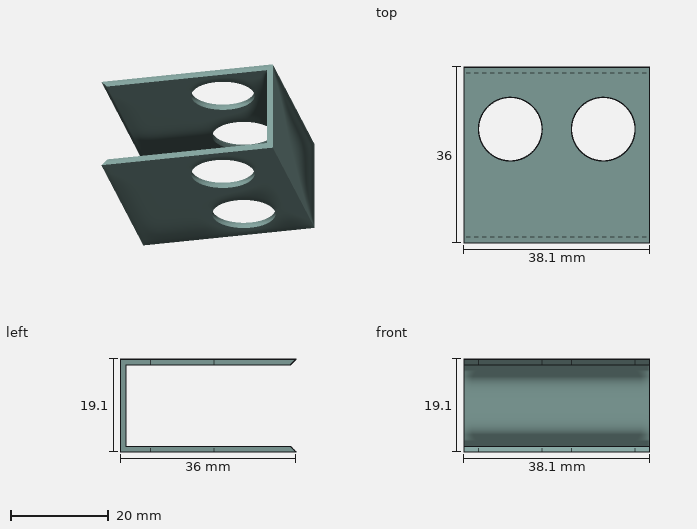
import cadquery as cq

pitch = 19.05
hole_count = 2
depth = 36.05
height = pitch
wall = 1.2
hole_diameter = 13.0
hole_setback = 12.7

width = hole_count * pitch
back_y = depth / 2
front_y = -depth / 2
top_z = height / 2
bottom_z = -height / 2
bevel = wall


def make_channel():
    """U channel open towards -Y, its front edges bevelled on the inside."""
    profile = [
        (back_y, bottom_z),
        (front_y, bottom_z),
        (front_y + bevel, bottom_z + wall),
        (back_y - wall, bottom_z + wall),
        (back_y - wall, top_z - wall),
        (front_y + bevel, top_z - wall),
        (front_y, top_z),
        (back_y, top_z),
    ]
    return cq.Workplane("YZ").polyline(profile).close().extrude(width / 2, both=True)


def make_hole_cutters():
    """Row of vertical cylinders that pass through both flanges."""
    return (
        cq.Workplane("XY", origin=(0, back_y - hole_setback, bottom_z))
        .rarray(pitch, pitch, hole_count, 1)
        .circle(hole_diameter / 2)
        .extrude(height)
    )


result = make_channel().cut(make_hole_cutters())